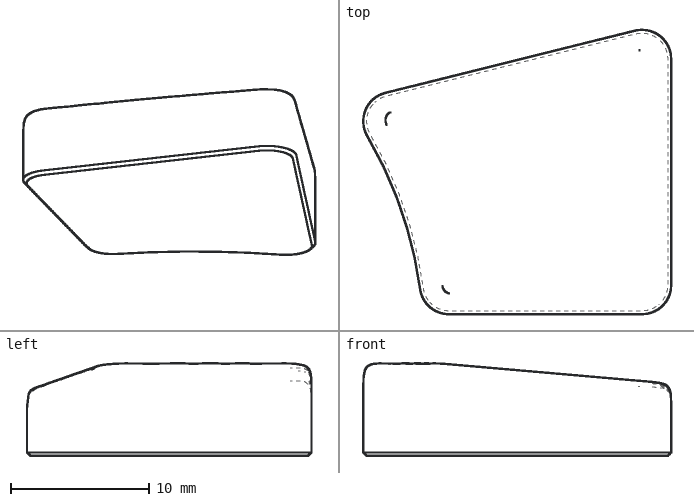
import cadquery as cq
import math

WIDTH = 20.56
HEIGHT = 6.69
INNER_RADIUS = 29.4
RIGHT_X = 47.30
FRONT_Y = 2.05
BACK_ANGLE = 14.0
CORNER_RADIUS = 4.25 / 2
TOP_SLOPE = 5.0
TOP_FILLET = 1.5
CREST_DROP = 0.113
BOTTOM_CHAMFER = 0.25
FULLNESS = 0.85
WASTE_MARGIN = 0.5
SECTION_STEPS = 4
CUT_TOLERANCE = 0.002
UP = cq.Vector(0, 0, 1)

top_tangent = math.tan(math.radians(TOP_SLOPE))
back_tangent = math.tan(math.radians(BACK_ANGLE))
back_cosine = math.cos(math.radians(BACK_ANGLE))


def back_wall_offset():
    """Y where the line of the back wall crosses the Z axis.

    The rounded back right corner reaches the full width, so the wall is
    tangent to that corner circle.
    """
    corner_x = RIGHT_X - CORNER_RADIUS
    corner_y = FRONT_Y + WIDTH - CORNER_RADIUS
    return corner_y + CORNER_RADIUS / back_cosine - corner_x * back_tangent


def point_on_inner_arc(angle):
    """Point on the concave side at an angle from the X axis, in radians."""
    return (INNER_RADIUS * math.cos(angle), INNER_RADIUS * math.sin(angle))


def make_prism():
    """Straight-sided block with rounded vertical edges, taller than the part."""
    offset = back_wall_offset()
    front_angle = math.asin(FRONT_Y / INNER_RADIUS)
    back_angle = math.radians(BACK_ANGLE) + math.asin(offset * back_cosine / INNER_RADIUS)
    return (
        cq.Workplane("XY")
        .moveTo(*point_on_inner_arc(front_angle))
        .lineTo(RIGHT_X, FRONT_Y)
        .lineTo(RIGHT_X, offset + RIGHT_X * back_tangent)
        .lineTo(*point_on_inner_arc(back_angle))
        .threePointArc(
            point_on_inner_arc((front_angle + back_angle) / 2),
            point_on_inner_arc(front_angle),
        )
        .close()
        .extrude(2 * HEIGHT)
        .edges("|Z")
        .fillet(CORNER_RADIUS)
    )


def cone_height(radius):
    """Height of the unrounded conical top at a distance from the Z axis."""
    return HEIGHT + CREST_DROP - (radius - INNER_RADIUS) * top_tangent


def rise_angle(point, direction):
    """Angle at which the conical top rises from a point in a level direction."""
    radial = cq.Vector(point.x, point.y, 0).normalized()
    return math.atan(-top_tangent * radial.dot(direction))


def make_cone():
    """Solid under the conical top."""
    outer_radius = 2 * RIGHT_X
    apex_height = cone_height(0)
    outer_height = cone_height(outer_radius)
    return (
        cq.Workplane("XZ")
        .polyline([(0, 0), (outer_radius, 0), (outer_radius, outer_height), (0, apex_height)])
        .close()
        .revolve(360, (0, 0, 0), (0, 1, 0))
    )


def make_section(rim_edge, position, centre):
    """Closed profile of the waste above the rounding, square to the rim.

    It lies in the upright plane square to the wall at the given position (0 to 1)
    along the rim edge.
    """
    corner = rim_edge.positionAt(position)
    along = rim_edge.tangentAt(position)
    outward = cq.Vector(along.y, -along.x, 0).normalized()
    if outward.dot(corner - centre) < 0:
        outward = -outward

    rim_slope = rise_angle(corner, -outward)
    setback = TOP_FILLET * math.tan((math.pi / 2 - rim_slope) / 2)
    wall_point = corner - UP * setback
    inset = corner - outward * setback * math.cos(rim_slope)
    top_point = cq.Vector(inset.x, inset.y, cone_height(math.hypot(inset.x, inset.y)))
    top_slope = rise_angle(top_point, -outward)
    inward = -outward * math.cos(top_slope) + UP * math.sin(top_slope)

    curve = cq.Edge.makeBezier(
        [
            wall_point,
            wall_point + UP * setback * FULLNESS,
            top_point - inward * setback * FULLNESS,
            top_point,
        ]
    )
    below = wall_point + outward * WASTE_MARGIN
    above = top_point + UP * WASTE_MARGIN
    far = cq.Vector(below.x, below.y, above.z)
    waste = cq.Wire.makePolygon([top_point, above, far, below, wall_point]).Edges()
    return cq.Wire.assembleEdges([curve] + waste)


def round_top_rim(body):
    """Round the whole top rim, one rim edge after the other."""
    top_face = body.faces("%CONE").faces(">Z").val()
    centre = top_face.Center()
    for rim_edge in top_face.outerWire().Edges():
        sections = [
            make_section(rim_edge, step / SECTION_STEPS, centre) for step in range(SECTION_STEPS + 1)
        ]
        path = cq.Wire.assembleEdges([rim_edge])
        waste = cq.Solid.sweep_multi(sections, path, True, UP.toDir())
        body = body.cut(waste, tol=CUT_TOLERANCE)
    return body


def chamfer_bottom(body):
    return body.faces("<Z").edges().chamfer(BOTTOM_CHAMFER)


result = round_top_rim(chamfer_bottom(make_prism().intersect(make_cone())))